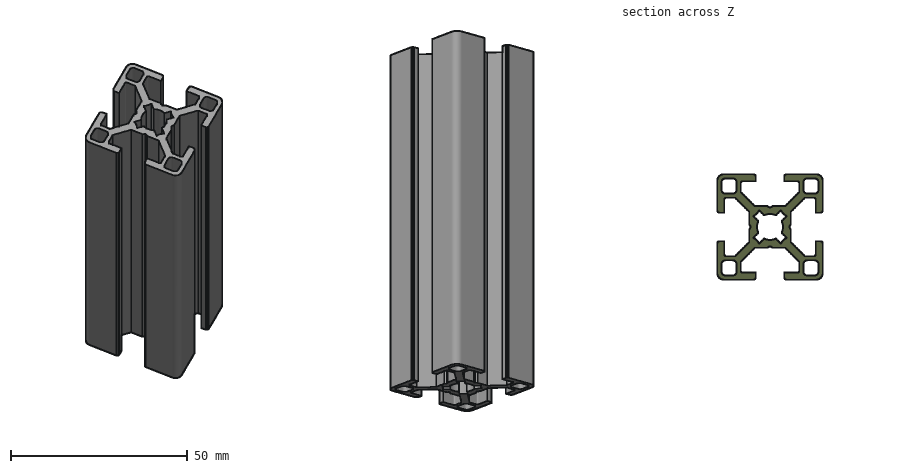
import cadquery as cq
import math

length = 100.0
side = 30.0
half_side = side / 2
corner_radius = 2.0

slot_opening = 8.0
lip_thickness = 2.1
lip_bevel = 0.6
lip_bevel_setback = 0.2
slot_inner_width = 16.5
slot_corner_radius = 0.4
core_width = 11.9
web_thickness = 2.3

groove_width = 1.6
groove_bottom_width = 0.3
groove_depth = 0.4

hollow_size = 4.2
hollow_offset = 11.6
hollow_radius = 1.0

bore_diameter = 7.3
relief_width = 2.3
relief_span = 11.0
relief_end_bulge = 0.2


def make_bar():
    """Solid square bar with rounded long edges, standing on Z = 0."""
    bar = cq.Workplane("XY").rect(side, side).extrude(length)
    return bar.edges("|Z").fillet(corner_radius)


def make_slot():
    """Cutter for the T-slot in the +Y side, with its floor groove and lip bevels."""
    half_opening = slot_opening / 2
    half_inner = slot_inner_width / 2
    half_groove = groove_width / 2
    lip_inside = half_side - lip_thickness
    floor = core_width / 2
    flank_shift = web_thickness / math.sqrt(2)
    right_half = [
        (groove_bottom_width / 2, floor - groove_depth),
        (half_groove, floor),
        (floor - flank_shift, floor),
        (half_inner, half_inner + flank_shift),
        (half_inner, lip_inside),
        (half_opening, lip_inside),
        (half_opening, half_side - lip_bevel),
        (half_opening + lip_bevel_setback, half_side - lip_bevel_setback),
        (half_opening + lip_bevel, half_side),
    ]
    left_half = [(-x, y) for x, y in reversed(right_half)]
    outline = right_half + left_half
    slot = cq.Workplane("XY").polyline(outline).close().extrude(length)
    for direction in (-1, 1):
        inner_corner = cq.selectors.NearestToPointSelector(
            (direction * half_inner, lip_inside, length / 2)
        )
        slot = slot.edges(inner_corner).fillet(slot_corner_radius)
    return slot


def make_hollows():
    """Cutters for the rounded square hollows in the four corners."""
    spacing = 2 * hollow_offset
    hollows = (
        cq.Workplane("XY")
        .rarray(spacing, spacing, 2, 2)
        .rect(hollow_size, hollow_size)
        .extrude(length)
    )
    return hollows.edges("|Z").fillet(hollow_radius)


def make_relief():
    """Cutter along X through the axis, its ends bulging in towards the axis."""
    half_span = relief_span / 2
    half_width = relief_width / 2
    end_middle = half_span - relief_end_bulge
    return (
        cq.Workplane("XY")
        .moveTo(-half_span, -half_width)
        .lineTo(half_span, -half_width)
        .threePointArc((end_middle, 0), (half_span, half_width))
        .lineTo(-half_span, half_width)
        .threePointArc((-end_middle, 0), (-half_span, -half_width))
        .close()
        .extrude(length)
    )


def make_bore():
    """Cutter for the round bore with crossed diagonal reliefs."""
    bore = cq.Workplane("XY").circle(bore_diameter / 2).extrude(length)
    relief = make_relief()
    for angle in (45, 135):
        bore = bore.union(relief.rotate((0, 0, 0), (0, 0, 1), angle))
    return bore


body = make_bar()
slot_cutter = make_slot()
for turn in range(4):
    body = body.cut(slot_cutter.rotate((0, 0, 0), (0, 0, 1), 90 * turn))
result = body.cut(make_hollows()).cut(make_bore())